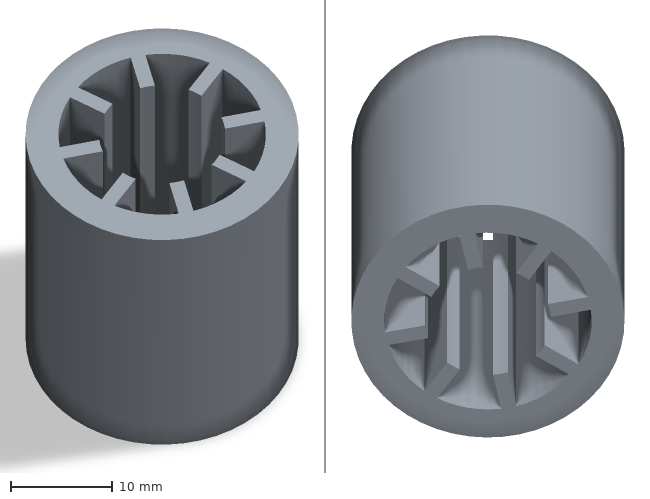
import cadquery as cq

outer_diameter = 27.0
sleeve_bore_diameter = 20.5
rib_bore_diameter = 12.5
height = 32.0
rib_pair_count = 4
rib_thickness = 1.5

rib_span = (outer_diameter + sleeve_bore_diameter) / 2
pair_spacing_angle = 180 / rib_pair_count


def make_cylinder(diameter):
    """Full-height cylinder standing on the XY plane, centred on the Z axis."""
    return cq.Workplane("XY").circle(diameter / 2).extrude(height)


def make_rib_pair(angle):
    """Full-height flat web across the axis; the central bore splits it into two ribs."""
    web = cq.Workplane("XY").box(rib_span, rib_thickness, height, centered=(True, True, False))
    return web.rotate((0, 0, 0), (0, 0, 1), angle)


def make_ribbed_sleeve():
    """Sleeve with evenly spaced internal ribs trimmed to a common bore."""
    body = make_cylinder(outer_diameter).cut(make_cylinder(sleeve_bore_diameter))
    for index in range(rib_pair_count):
        body = body.union(make_rib_pair(index * pair_spacing_angle))
    return body.cut(make_cylinder(rib_bore_diameter))


result = make_ribbed_sleeve()